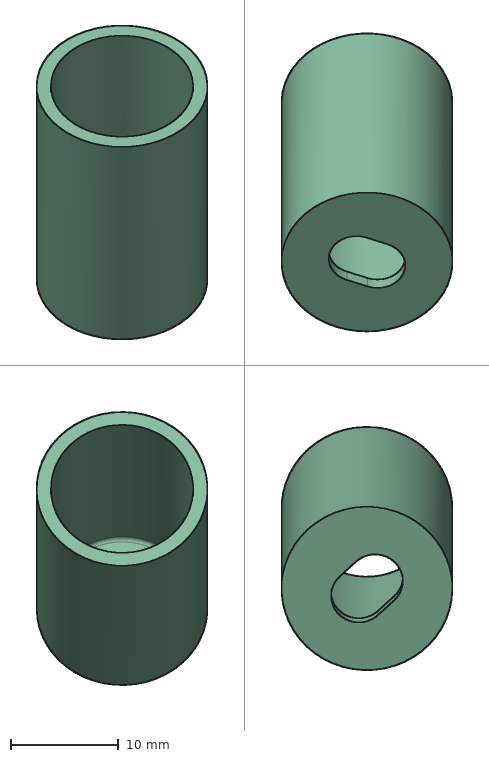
import cadquery as cq

height = 25.4
outer_diameter = 15.88

bore_diameter = 13.2
floor_thickness = (outer_diameter - bore_diameter) / 2
floor_fillet = 0.38

slot_width = 5.15
slot_length = 7.25

body = cq.Workplane("XY").circle(outer_diameter / 2).extrude(height)

bore = (
    cq.Workplane("XY", origin=(0, 0, floor_thickness))
    .circle(bore_diameter / 2)
    .extrude(height - floor_thickness)
    .faces("<Z")
    .fillet(floor_fillet)
)

slot = (
    cq.Workplane("XY")
    .slot2D(slot_length, slot_width, angle=90)
    .extrude(floor_thickness)
)

result = body.cut(bore).cut(slot)